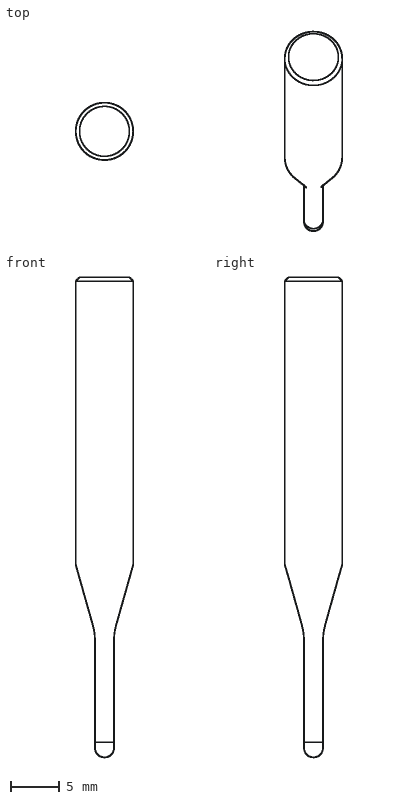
import cadquery as cq
import math

total_length = 50.0
shank_radius = 3.0
shank_bottom = 20.05
top_chamfer = 0.4

neck_radius = 1.0
cone_half_angle = math.radians(15.8)
blend_radius = 6.0

tip_radius = 1.0
tip_length = 1.6


def blend_point(angle, blend_bottom):
    """Point (radius, height) on the blend where its slope from the axis is angle."""
    radius = neck_radius + blend_radius * (1 - math.cos(angle))
    height = blend_bottom + blend_radius * math.sin(angle)
    return radius, height


def make_shank():
    """Chamfered shank, cone, blend and neck, revolved about Z."""
    blend_rise = blend_radius * math.sin(cone_half_angle)
    blend_top_radius = neck_radius + blend_radius * (1 - math.cos(cone_half_angle))
    cone_height = (shank_radius - blend_top_radius) / math.tan(cone_half_angle)
    blend_bottom = shank_bottom - cone_height - blend_rise

    profile = (
        cq.Workplane("XZ")
        .moveTo(0, tip_length)
        .lineTo(neck_radius, tip_length)
        .lineTo(neck_radius, blend_bottom)
        .threePointArc(
            blend_point(cone_half_angle / 2, blend_bottom),
            blend_point(cone_half_angle, blend_bottom),
        )
        .lineTo(shank_radius, shank_bottom)
        .lineTo(shank_radius, total_length - top_chamfer)
        .lineTo(shank_radius - top_chamfer, total_length)
        .lineTo(0, total_length)
        .close()
    )
    return profile.revolve(360, (0, 0, 0), (0, 1, 0))


def make_tip():
    """Short cylinder ending in a half ball, its flat end against the neck."""
    arc_middle = (
        tip_radius * math.sin(math.pi / 4),
        tip_radius * (1 - math.cos(math.pi / 4)),
    )
    profile = (
        cq.Workplane("XZ")
        .moveTo(0, 0)
        .threePointArc(arc_middle, (tip_radius, tip_radius))
        .lineTo(tip_radius, tip_length)
        .lineTo(0, tip_length)
        .close()
    )
    return profile.revolve(360, (0, 0, 0), (0, 1, 0))


shank = make_shank()
tip = make_tip()
result = cq.Compound.makeCompound([shank.val(), tip.val()])